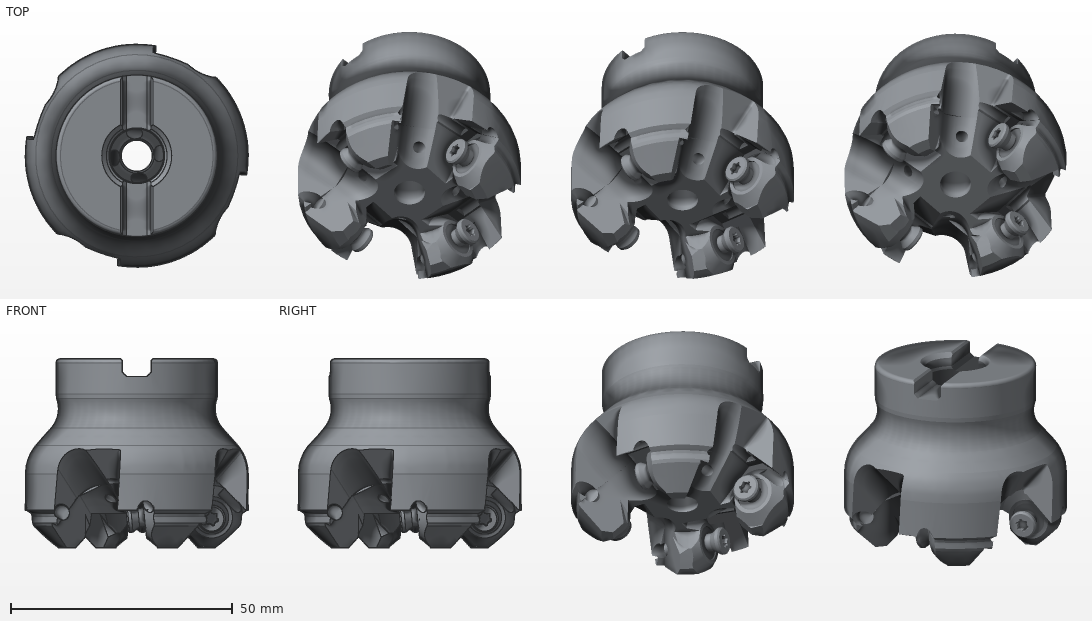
import cadquery as cq
import math

TEETH = 4
TOOTH_PITCH = 360 / TEETH
HEIGHT = 42.7
BODY_RADIUS = 25.17
HUB_RADIUS = 18.23
HUB_BOTTOM = 34.7
HUB_EDGE = 1.0
NECK_RADIUS = 17.73
NECK_Z = 31.4
NECK_ARC = 6.7
NECK_TOP = HUB_BOTTOM - HUB_EDGE
SHOULDER_ARC = 10.0
SHOULDER_Z = 16.7
FLARE_ANGLE = 40

RIM_Z = 8.5
RIM_CONE_RADIUS = 24.1
RIM_CONE_Z = 7.7
GROOVE_TOP = 7.06
GROOVE_RADIUS = 23.9
CONE_TOP_RADIUS = 23.5
CONE_TOP_Z = 4.9
GROOVE_BOTTOM = 5.65
TIP_OUTER_RADIUS = 18.3
TIP_INNER_RADIUS = 15.7

RECESS_RADIUS = 12.4
RECESS_TOP = 7.7

BOLT_HOLE_RADIUS = 3.5
BORE_RADIUS = 6.3
BORE_FLOOR = 20.0
BORE_MOUTH_RADIUS = 6.85
BORE_MOUTH_DEPTH = 3.0
BORE_STEP_Z = 33.7
BORE_LOWER_RADIUS = 6.05
BORE_CHAMFER = 1.05
BOLT_HOLE_CHAMFER = 0.45
SLOT_WIDTH = 6.5
SLOT_DEPTH = 4.0
SLOT_FLOOR_CHAMFER = 0.95
SLOT_EDGE_CHAMFER = 0.45

COOLANT_RADIUS = 1.3
COOLANT_START = (-5.1, -0.5)
COOLANT_LENGTH = 15.0
COOLANT_ANGLE = 46
COOLANT_SPLAY = 5

GULLET_AZIMUTH = 34
GULLET_OFFSET = -0.1
GULLET_RADIUS = 5.0
GULLET_BEND_RADIUS = 14.0
GULLET_BEND_Z = 14.2
GULLET_OUTER_CLIMB = 41
GULLET_INNER_CLIMB = 44
GULLET_OUTER_FLARE = 9
GULLET_INNER_FLARE = 21
GULLET_OUTER_LENGTH = 25.0
GULLET_INNER_LENGTH = 17.0
GULLET_DROP = 30.0

FRONT_WALL_X = -3.6
FRONT_WALL_TILT = 3.2
FRONT_WIDTH = 8.0
FRONT_ROOF_Z = 22.0
FRONT_ROOF_Y = -23.2
FRONT_ROOF_CLIMB = 51
FRONT_ROOF_AZIMUTH = 18
FRONT_CORNER = 0.7

SEAT_X = 1.75
SEAT_RADIAL = 16.9
SEAT_Z = 6.9
SEAT_TILT = 5.5
SEAT_RADIUS = 4.7
SEAT_RING_RADIUS = 3.84
SEAT_RING_DEPTH = 0.4
POCKET_HALF = 7.0
POCKET_DEPTH = 9.0
POCKET_TOP = 8.2
RELIEF_RADIUS = 1.2
WALL_RELIEF_RADIUS = 1.9
WALL_RELIEF_INSET = 0.5
WALL_RELIEF_DEPTH = 0.35
WALL_RELIEF_START = 4.0
WALL_RELIEF_LENGTH = 12.0

SHANK_RADIUS = 1.7
SHANK_LENGTH = 10.5
SCREW_HOLE_LENGTH = 25.0
HEAD_RADIUS = 3.1
HEAD_TOP = 4.0
HEAD_RIM = 1.1
HEAD_CONE = 1.6
HEAD_EDGE = 0.35
NECK_SHANK_RADIUS = 2.1
SOCKET_RADIUS = 1.25
SOCKET_LOBE_RADIUS = 0.35
SOCKET_LOBES = 6
SOCKET_TURN = -15
SOCKET_DEPTH = 1.5


def polar(radius, degrees):
    angle = math.radians(degrees)
    return radius * math.cos(angle), radius * math.sin(angle)


def neck_point(z):
    """Point of the concave neck arc at height z."""
    sag = NECK_ARC - math.sqrt(NECK_ARC**2 - (z - NECK_Z)**2)
    return NECK_RADIUS + sag, z


def shoulder_point(degrees):
    """Point of the convex shoulder arc, measured up from its tangent with the cylinder."""
    across, up = polar(SHOULDER_ARC, degrees)
    return BODY_RADIUS - SHOULDER_ARC + across, SHOULDER_Z + up


def revolved_blank():
    flare_bottom = shoulder_point(FLARE_ANGLE)
    flare_top = neck_point(NECK_Z - NECK_ARC * math.sin(math.radians(FLARE_ANGLE)))
    round_offset = HUB_EDGE * (1 - math.sqrt(0.5))
    return (
        cq.Workplane("XZ")
        .moveTo(BOLT_HOLE_RADIUS, RECESS_TOP)
        .lineTo(RECESS_RADIUS, RECESS_TOP)
        .lineTo(RECESS_RADIUS, TIP_INNER_RADIUS - RECESS_RADIUS)
        .lineTo(TIP_INNER_RADIUS, 0)
        .lineTo(TIP_OUTER_RADIUS, 0)
        .lineTo(CONE_TOP_RADIUS, CONE_TOP_Z)
        .lineTo(GROOVE_RADIUS, GROOVE_BOTTOM)
        .lineTo(GROOVE_RADIUS, GROOVE_TOP)
        .lineTo(RIM_CONE_RADIUS, RIM_CONE_Z)
        .lineTo(BODY_RADIUS, RIM_Z)
        .lineTo(BODY_RADIUS, SHOULDER_Z)
        .threePointArc(shoulder_point(FLARE_ANGLE / 2), flare_bottom)
        .lineTo(*flare_top)
        .threePointArc((NECK_RADIUS, NECK_Z), neck_point(NECK_TOP))
        .lineTo(HUB_RADIUS, HUB_BOTTOM)
        .lineTo(HUB_RADIUS, HEIGHT - HUB_EDGE)
        .threePointArc((HUB_RADIUS - round_offset, HEIGHT - round_offset), (HUB_RADIUS - HUB_EDGE, HEIGHT))
        .lineTo(BORE_MOUTH_RADIUS + BORE_CHAMFER, HEIGHT)
        .lineTo(BORE_MOUTH_RADIUS, HEIGHT - BORE_CHAMFER)
        .lineTo(BORE_MOUTH_RADIUS, HEIGHT - BORE_MOUTH_DEPTH)
        .lineTo(BORE_RADIUS, HEIGHT - BORE_MOUTH_DEPTH - (BORE_MOUTH_RADIUS - BORE_RADIUS))
        .lineTo(BORE_RADIUS, BORE_STEP_Z)
        .lineTo(BORE_LOWER_RADIUS, BORE_STEP_Z - (BORE_RADIUS - BORE_LOWER_RADIUS))
        .lineTo(BORE_LOWER_RADIUS, BORE_FLOOR)
        .lineTo(BOLT_HOLE_RADIUS + BOLT_HOLE_CHAMFER, BORE_FLOOR)
        .lineTo(BOLT_HOLE_RADIUS, BORE_FLOOR - BOLT_HOLE_CHAMFER)
        .close()
        .revolve(360, (0, 0, 0), (0, 1, 0))
    )


def drive_slot():
    half = SLOT_WIDTH / 2
    floor = HEIGHT - SLOT_DEPTH
    right_side = [
        (half - SLOT_FLOOR_CHAMFER, floor),
        (half, floor + SLOT_FLOOR_CHAMFER),
        (half, HEIGHT - SLOT_EDGE_CHAMFER),
        (half + SLOT_EDGE_CHAMFER, HEIGHT),
    ]
    left_side = [(-x, z) for x, z in reversed(right_side)]
    return cq.Workplane("XZ").polyline(right_side + left_side).close().extrude(HUB_RADIUS * 1.2, both=True)


def heading(azimuth, climb):
    """Unit vector at an azimuth from -Y towards -X, climbing from the horizontal."""
    level, rise = polar(1, climb)
    back, side = polar(level, azimuth)
    return -side, -back, rise


def groove_run(climb, flare, length):
    """One straight run of the gullet from its roof bend; a negative length runs inwards."""
    out_x, out_y, _ = heading(GULLET_AZIMUTH, 0)
    bend = (
        GULLET_BEND_RADIUS * out_x + GULLET_OFFSET * out_y,
        GULLET_BEND_RADIUS * out_y - GULLET_OFFSET * out_x,
        GULLET_BEND_Z,
    )
    plane = cq.Plane(bend, xDir=(-out_y, out_x, 0), normal=heading(GULLET_AZIMUTH, climb))
    across, up = polar(GULLET_RADIUS, flare)
    wall_top = up - GULLET_RADIUS
    lean = (wall_top + GULLET_DROP) * math.tan(math.radians(flare))
    return (
        cq.Workplane(plane)
        .moveTo(-across - lean, -GULLET_DROP)
        .lineTo(-across, wall_top)
        .threePointArc((0, 0), (GULLET_RADIUS, -GULLET_RADIUS))
        .lineTo(GULLET_RADIUS, -GULLET_DROP)
        .close()
        .extrude(length)
    )


def front_clearance():
    """Space in front of the leaning wall of the land, under a roof that climbs outwards."""
    roof_point = (FRONT_WALL_X, FRONT_ROOF_Y, FRONT_ROOF_Z)
    lean = GULLET_DROP * math.tan(math.radians(FRONT_WALL_TILT))
    space = (
        cq.Workplane(cq.Plane(roof_point, xDir=(1, 0, 0), normal=(0, -1, 0)))
        .moveTo(lean, GULLET_DROP)
        .lineTo(-FRONT_WIDTH, GULLET_DROP)
        .lineTo(-FRONT_WIDTH, -GULLET_DROP)
        .lineTo(-lean, -GULLET_DROP)
        .close()
        .extrude(BODY_RADIUS, both=True)
    )
    out_x, out_y, _ = heading(FRONT_ROOF_AZIMUTH, 0)
    roof_normal = heading(FRONT_ROOF_AZIMUTH, FRONT_ROOF_CLIMB - 90)
    above_roof = (
        cq.Workplane(cq.Plane(roof_point, xDir=(-out_y, out_x, 0), normal=roof_normal))
        .rect(BODY_RADIUS * 4, BODY_RADIUS * 4)
        .extrude(-BODY_RADIUS * 2)
    )
    return (
        space.cut(above_roof)
        .edges(cq.selectors.NearestToPointSelector(roof_point))
        .fillet(FRONT_CORNER)
    )


def seat_plane(offset=0.0):
    """Plane of the seat: local Z points out of the screw head, X radially outwards, Y up."""
    level, drop = polar(1, SEAT_TILT)
    origin = (SEAT_X - offset * level, -SEAT_RADIAL, SEAT_Z - offset * drop)
    return cq.Plane(origin, xDir=(0, -1, 0), normal=(-level, 0, -drop))


def seat_cylinder(radius, bottom, top):
    return cq.Workplane(seat_plane(bottom)).circle(radius).extrude(top - bottom)


def insert_pocket():
    """Pocket with two 45 degree upper walls, open below, around a round seat with a 45 degree skirt."""
    skirt = POCKET_HALF - SEAT_RADIUS
    corner = POCKET_HALF * math.sqrt(2)
    shoulder = corner - POCKET_TOP
    outline = [
        (-corner, -corner),
        (corner, -corner),
        (corner, 0),
        (shoulder, POCKET_TOP),
        (-shoulder, POCKET_TOP),
        (-corner, 0),
    ]
    pocket = cq.Workplane(seat_plane(-skirt)).polyline(outline).close().extrude(skirt + POCKET_DEPTH)
    seat = (
        cq.Workplane(seat_plane(-skirt))
        .circle(POCKET_HALF)
        .workplane(offset=skirt)
        .circle(SEAT_RADIUS)
        .loft(combine=True)
    )
    relief = cq.Workplane(seat_plane()).center(0, POCKET_TOP).circle(RELIEF_RADIUS).extrude(POCKET_DEPTH)
    return pocket.cut(seat).union(relief)


def wall_relief():
    """Round groove along the foot of the pocket's upper outer wall, out through the land."""
    foot = (POCKET_HALF - WALL_RELIEF_INSET) * math.sqrt(0.5)
    plane = seat_plane(-WALL_RELIEF_DEPTH)
    start = plane.toWorldCoords((0, 2 * foot))
    end = plane.toWorldCoords((2 * foot, 0))
    return (
        cq.Workplane(cq.Plane(start, normal=end - start))
        .workplane(offset=WALL_RELIEF_START)
        .circle(WALL_RELIEF_RADIUS)
        .extrude(WALL_RELIEF_LENGTH)
    )


def coolant_hole():
    plane = cq.Plane((*COOLANT_START, BORE_FLOOR), normal=heading(COOLANT_SPLAY, -COOLANT_ANGLE))
    lead = COOLANT_RADIUS * 2
    return cq.Workplane(plane).workplane(offset=-lead).circle(COOLANT_RADIUS).extrude(lead + COOLANT_LENGTH)


def tooth_cuts():
    """Everything removed from the blank for one tooth."""
    return [
        groove_run(GULLET_OUTER_CLIMB, GULLET_OUTER_FLARE, GULLET_OUTER_LENGTH),
        groove_run(GULLET_INNER_CLIMB, GULLET_INNER_FLARE, -GULLET_INNER_LENGTH),
        front_clearance(),
        insert_pocket(),
        wall_relief(),
        seat_cylinder(SEAT_RING_RADIUS, -SEAT_RING_DEPTH, 0),
        seat_cylinder(SHANK_RADIUS, -SCREW_HOLE_LENGTH, 0),
        coolant_hole(),
    ]


def on_tooth(shape, index):
    return shape.rotate((0, 0, 0), (0, 0, 1), index * TOOTH_PITCH)


def cutter_body():
    body = revolved_blank().cut(drive_slot())
    for cut in tooth_cuts():
        for index in range(TEETH):
            body = body.cut(on_tooth(cut, index))
    return body


def insert_screw():
    """Countersunk screw revolved about the local Z axis, with a six-lobed socket."""
    rim_bottom = HEAD_TOP - HEAD_RIM
    screw = (
        cq.Workplane("XZ")
        .moveTo(0, -SHANK_LENGTH)
        .lineTo(SHANK_RADIUS, -SHANK_LENGTH)
        .lineTo(SHANK_RADIUS, -SEAT_RING_DEPTH)
        .lineTo(NECK_SHANK_RADIUS, 0)
        .lineTo(NECK_SHANK_RADIUS, rim_bottom - HEAD_CONE)
        .lineTo(HEAD_RADIUS, rim_bottom)
        .lineTo(HEAD_RADIUS, HEAD_TOP - HEAD_EDGE)
        .lineTo(HEAD_RADIUS - HEAD_EDGE, HEAD_TOP)
        .lineTo(0, HEAD_TOP)
        .close()
        .revolve(360, (0, 0, 0), (0, 1, 0))
    )
    socket_face = cq.Workplane("XY", origin=(0, 0, HEAD_TOP))
    socket = socket_face.circle(SOCKET_RADIUS).extrude(-SOCKET_DEPTH)
    lobes = (
        socket_face.polarArray(SOCKET_RADIUS, SOCKET_TURN, 360, SOCKET_LOBES)
        .circle(SOCKET_LOBE_RADIUS)
        .extrude(-SOCKET_DEPTH)
    )
    return screw.cut(socket.union(lobes))


def insert_screws():
    screw = insert_screw().val().moved(seat_plane().location)
    return [on_tooth(screw, index) for index in range(TEETH)]


result = cq.Compound.makeCompound([cutter_body().val(), *insert_screws()])